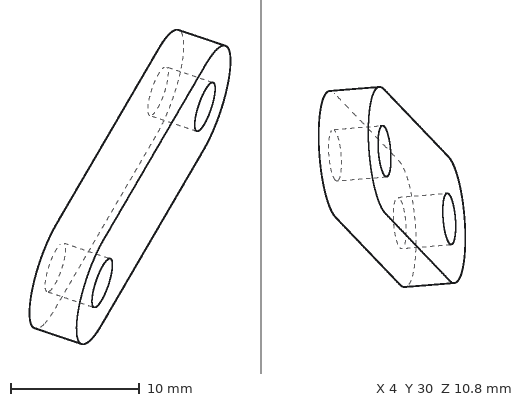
import cadquery as cq
import math

length = 29.98
height = 10.8
thickness = 4.0
end_radius = 5.0
hole_diameter = 4.0

span_y = length - 2 * end_radius
drop_z = height - 2 * end_radius
pivot_spacing = math.hypot(span_y, drop_z)
tilt = -math.degrees(math.atan2(drop_z, span_y))
pivots = [(-span_y / 2, drop_z / 2), (span_y / 2, -drop_z / 2)]

link = (
    cq.Workplane("YZ")
    .slot2D(pivot_spacing + 2 * end_radius, 2 * end_radius, tilt)
    .extrude(thickness)
)

pivot_holes = (
    cq.Workplane("YZ")
    .pushPoints(pivots)
    .circle(hole_diameter / 2)
    .extrude(thickness)
)

result = link.cut(pivot_holes)